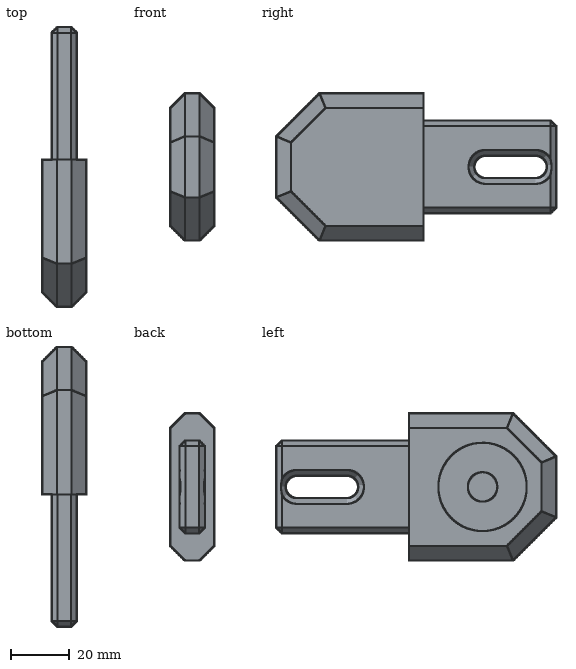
import cadquery as cq
import math

HEAD_SIZE = 50.0
HEAD_THICKNESS = 15.0
HEAD_CHAMFER = 5.0
HEAD_HALF = HEAD_SIZE / 2
OCTAGON_HALF_SIDE = HEAD_HALF * math.tan(math.pi / 8)

TAIL_LENGTH = 45.0
TAIL_HEIGHT = 31.6
TAIL_THICKNESS = 8.6
TAIL_CHAMFER = 2.0
TAIL_END_Y = HEAD_HALF + TAIL_LENGTH

SLOT_WIDTH = 7.5
SLOT_CHAMFER = 2.0
SLOT_STRAIGHT = 17.0
SLOT_OUTER_ARC_TO_END = 7.0
SLOT_CENTRE_Y = TAIL_END_Y - SLOT_OUTER_ARC_TO_END - SLOT_STRAIGHT / 2

POCKET_DIAMETER = 30.0
POCKET_DEPTH = 7.0
HOLE_DIAMETER = 10.0
HOLE_DEPTH = 6.0


def make_head():
    """Head with its five free edges chamfered on both faces; the tail side stays square."""
    head = (
        cq.Workplane("YZ")
        .moveTo(HEAD_HALF, -HEAD_HALF)
        .lineTo(HEAD_HALF, HEAD_HALF)
        .lineTo(-OCTAGON_HALF_SIDE, HEAD_HALF)
        .lineTo(-HEAD_HALF, OCTAGON_HALF_SIDE)
        .lineTo(-HEAD_HALF, -OCTAGON_HALF_SIDE)
        .lineTo(-OCTAGON_HALF_SIDE, -HEAD_HALF)
        .close()
        .extrude(HEAD_THICKNESS / 2, both=True)
    )
    return head.faces("<X or >X").edges("not(>Y)").chamfer(HEAD_CHAMFER)


def make_tail():
    """Bar with every edge chamfered except those at the head."""
    tail = cq.Workplane("XY").box(TAIL_THICKNESS, TAIL_LENGTH, TAIL_HEIGHT)
    tail = tail.edges("not(<Y)").chamfer(TAIL_CHAMFER)
    return tail.translate((0, HEAD_HALF + TAIL_LENGTH / 2, 0))


def make_slot_cutter():
    """Through slot that widens at 45 degrees towards both faces of the tail."""
    mouth_width = SLOT_WIDTH + 2 * SLOT_CHAMFER
    through = (
        cq.Workplane("YZ")
        .center(SLOT_CENTRE_Y, 0)
        .slot2D(SLOT_STRAIGHT + SLOT_WIDTH, SLOT_WIDTH)
        .extrude(TAIL_THICKNESS / 2, both=True)
    )
    mouth = (
        cq.Workplane("YZ", origin=(TAIL_THICKNESS / 2, 0, 0))
        .center(SLOT_CENTRE_Y, 0)
        .slot2D(SLOT_STRAIGHT + mouth_width, mouth_width)
        .extrude(-SLOT_CHAMFER, taper=45)
    )
    return through.union(mouth).union(mouth.mirror("YZ"))


def make_pocket_cutter():
    """Stepped round cutter entering the head from its -X face."""
    face = cq.Workplane("YZ", origin=(-HEAD_THICKNESS / 2, 0, 0))
    pocket = face.circle(POCKET_DIAMETER / 2).extrude(POCKET_DEPTH)
    hole = face.circle(HOLE_DIAMETER / 2).extrude(POCKET_DEPTH + HOLE_DEPTH)
    return pocket.union(hole)


result = (
    make_head()
    .union(make_tail())
    .cut(make_slot_cutter())
    .cut(make_pocket_cutter())
)